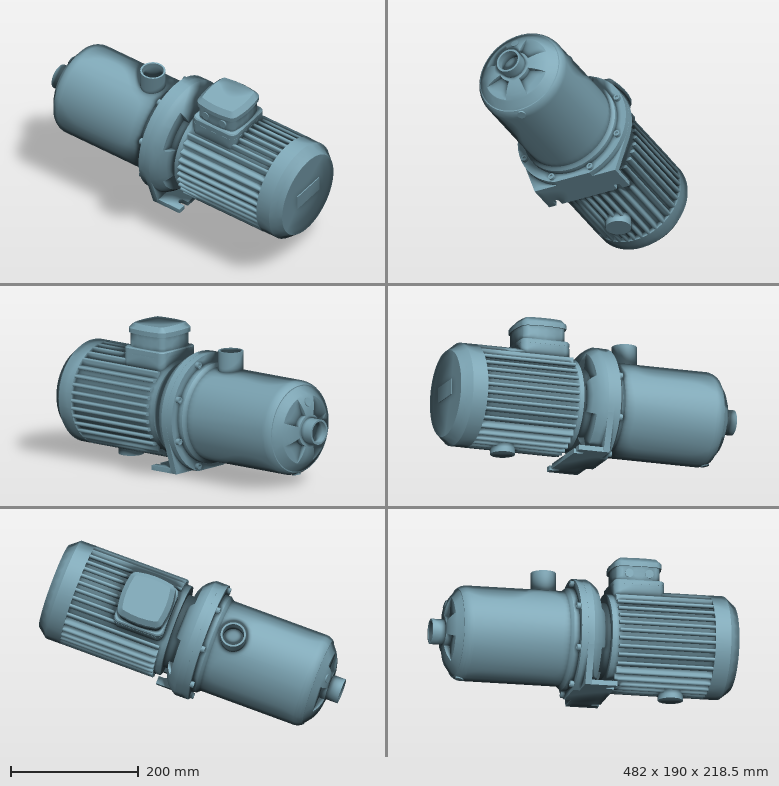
import cadquery as cq
import math


cap_face_x = 20.0
cap_pocket_floor_x = 29.0
cap_rim_x = 39.5
shell_start_x = 54.5
shell_end_x = 207.7
collar_x = 213.5
flange_x = 222.0
bracket_x = 233.0
dome_x = 243.0
dome_pocket_floor_x = 257.5
dome_end_x = 267.5
motor_ring_x = 276.0
fins_x = 286.5
fan_cover_x = 440.0
fan_cone_x = 464.5
fan_end_x = 480.5
pump_length = 482.0

cap_diameter = 136.0
cap_rim_diameter = 139.5
shell_diameter = 150.0
collar_diameter = 160.0
flange_diameter = 189.5
bracket_diameter = 190.0
neck_diameter = 120.0
neck_core_diameter = 96.5
motor_ring_diameter = 148.0
motor_diameter = 163.0
fan_end_diameter = 137.0
dome_end_diameter = 125.5
cap_hub_diameter = 51.0

cap_dome_point = (28.0, 53.0)
shell_round_point = (45.5, 73.5)
dome_point = (260.0, 81.5)

nozzle_diameter = 40.0
discharge_diameter = 39.5
nozzle_bore = 33.5
discharge_x = 181.0
discharge_top_z = 104.5

spoke_count = 4
cap_spoke_half_angle = 20.0
dome_spoke_half_angle = 22.0

plug_diameter = 13.5
plug_length = 9.5
fill_plug_face_x = 22.5
fill_plug_face_z = 45.5
fill_plug_tilt = 20.0
drain_plug_face_x = 46.5
drain_plug_face_z = -75.0
drain_plug_tilt = 75.0

foot_bottom_z = -89.5
foot_half_width = 70.5
foot_thickness = 7.5
foot_end_x = 284.0
foot_slot_width = 9.5
foot_slot_y = 53.0
foot_slot_centre_x = 274.5
support_diameter = 39.5
support_x = 385.0

fin_pitch = 12.5
fins_each_side_of_centre = 4
fin_thickness = 5.5
fin_root_z = 43.5

box_x = 327.0
box_corner_radius = 20.0 / 2
base_length = 81.5
base_width = 83.5
base_bottom_z = 48.0
base_top_z = 92.0
base_chamfer = 2.0
base_groove_bottom_z = 81.5
base_groove_top_z = 85.0
base_groove_depth = 0.25
case_half_width = 38.0
cover_half_width = 40.5
cover_corner_radius = 12.0
side_bulge = 5.0
cover_bottom_z = 114.0
cover_top_z = 129.0
cover_chamfer = 7.5
entry_diameter = 13.5
entry_spacing = 32.5
entry_z = 103.0
entry_face_y = -38.5

plate_width = 58.0
plate_height = 24.5
plate_z = 4.0

screw_count = 8
screw_head_diameter = 10.0
screw_head_height = 6.0
screw_circle_diameter = 175.0
screw_socket_diameter = 6.0
screw_socket_depth = 3.0


def x_cylinder(diameter, start_x, end_x, z=0.0):
    """Cylinder parallel to the shaft, on the plane Y = 0."""
    return cq.Workplane("YZ", origin=(start_x, 0, z)).circle(diameter / 2).extrude(end_x - start_x)


def z_cylinder(diameter, x, bottom_z, top_z):
    """Upright cylinder on the plane Y = 0."""
    return cq.Workplane("XY", origin=(x, 0, bottom_z)).circle(diameter / 2).extrude(top_z - bottom_z)


def turned_body():
    """Cap, shell, flange, dome, neck, motor core and fan cover, turned about the shaft."""
    return (
        cq.Workplane("XY")
        .moveTo(cap_face_x, 0)
        .lineTo(cap_face_x, nozzle_diameter / 2)
        .threePointArc(cap_dome_point, (cap_rim_x, cap_diameter / 2))
        .lineTo(cap_rim_x, cap_rim_diameter / 2)
        .threePointArc(shell_round_point, (shell_start_x, shell_diameter / 2))
        .lineTo(shell_end_x, shell_diameter / 2)
        .lineTo(collar_x, collar_diameter / 2)
        .lineTo(flange_x, collar_diameter / 2)
        .lineTo(flange_x, flange_diameter / 2)
        .lineTo(bracket_x, flange_diameter / 2)
        .lineTo(bracket_x, bracket_diameter / 2)
        .lineTo(dome_x, bracket_diameter / 2)
        .threePointArc(dome_point, (dome_end_x, dome_end_diameter / 2))
        .lineTo(dome_end_x, neck_core_diameter / 2)
        .lineTo(motor_ring_x, neck_core_diameter / 2)
        .lineTo(motor_ring_x, motor_ring_diameter / 2)
        .lineTo(fan_cover_x, motor_ring_diameter / 2)
        .lineTo(fan_cover_x, motor_diameter / 2)
        .lineTo(fan_cone_x, motor_diameter / 2)
        .lineTo(fan_end_x, fan_end_diameter / 2)
        .lineTo(fan_end_x, 0)
        .close()
        .revolve(360, (0, 0, 0), (1, 0, 0))
    )


def spoke_pockets(start_x, end_x, inner_radius, outer_radius, spoke_half_angle):
    """Ring sectors left between four spokes that lie along Y and Z."""
    pitch_angle = 360 / spoke_count
    start = math.radians(spoke_half_angle)
    end = math.radians(pitch_angle - spoke_half_angle)
    middle = (start + end) / 2

    def point(radius, angle):
        return (radius * math.cos(angle), radius * math.sin(angle))

    sector = (
        cq.Workplane("YZ", origin=(start_x, 0, 0))
        .moveTo(*point(inner_radius, start))
        .lineTo(*point(outer_radius, start))
        .threePointArc(point(outer_radius, middle), point(outer_radius, end))
        .lineTo(*point(inner_radius, end))
        .threePointArc(point(inner_radius, middle), point(inner_radius, start))
        .close()
        .extrude(end_x - start_x)
    )
    pockets = sector
    for index in range(1, spoke_count):
        pockets = pockets.union(sector.rotate((0, 0, 0), (1, 0, 0), index * pitch_angle))
    return pockets


def foot():
    """Bracket plate with sides tangent to the bracket rim, and a sole with two open slots."""
    bracket_radius = bracket_diameter / 2
    corner_distance = math.hypot(foot_half_width, foot_bottom_z)
    corner_angle = math.atan2(foot_bottom_z, foot_half_width)
    tangent_angle = corner_angle + math.acos(bracket_radius / corner_distance)
    tangent_y = bracket_radius * math.cos(tangent_angle)
    tangent_z = bracket_radius * math.sin(tangent_angle)
    plate = (
        cq.Workplane("YZ", origin=(bracket_x, 0, 0))
        .moveTo(-foot_half_width, foot_bottom_z)
        .lineTo(foot_half_width, foot_bottom_z)
        .lineTo(tangent_y, tangent_z)
        .lineTo(-tangent_y, tangent_z)
        .close()
        .extrude(dome_x - bracket_x)
    )
    sole = cq.Workplane("XY").box(
        foot_end_x - bracket_x, 2 * foot_half_width, foot_thickness, centered=(False, True, False)
    ).translate((bracket_x, 0, foot_bottom_z))
    slot_length = 2 * (foot_end_x - foot_slot_centre_x) + foot_slot_width
    slots = (
        cq.Workplane("XY", origin=(foot_end_x, 0, foot_bottom_z))
        .rarray(5, 2 * foot_slot_y, 1, 2)
        .slot2D(slot_length, foot_slot_width)
        .extrude(foot_thickness)
    )
    return plate.union(sole.cut(slots))


def fins():
    """Parallel fins on the four sides of the motor, with round tips on the motor's outer diameter.

    On top, those below the terminal box start at the middle of the box.
    """
    half = fin_thickness / 2
    blades = cq.Workplane("YZ", origin=(fins_x, 0, 0))
    for index in range(-fins_each_side_of_centre, fins_each_side_of_centre + 1):
        y = index * fin_pitch
        tip_z = math.sqrt((motor_diameter / 2) ** 2 - y ** 2)
        blades = (
            blades.moveTo(y - half, fin_root_z)
            .lineTo(y + half, fin_root_z)
            .lineTo(y + half, tip_z - half)
            .threePointArc((y, tip_z), (y - half, tip_z - half))
            .close()
        )
    one_side = blades.extrude(fan_cover_x - fins_x)
    under_box = cq.Workplane("XY").box(
        box_x - fins_x, base_width, motor_diameter / 2, centered=(False, True, False)
    ).translate((fins_x, 0, 0))
    sides = [one_side.cut(under_box)]
    for side in range(1, 4):
        sides.append(one_side.rotate((0, 0, 0), (1, 0, 0), side * 90))
    return sides


def bulged_prism(half_width, corner_radius, bottom_z, top_z):
    """Square prism with bowed sides and rounded corners."""
    corner = half_width - side_bulge
    return (
        cq.Workplane("XY", origin=(box_x, 0, bottom_z))
        .moveTo(-corner, -corner)
        .threePointArc((0, -half_width), (corner, -corner))
        .threePointArc((half_width, 0), (corner, corner))
        .threePointArc((0, half_width), (-corner, corner))
        .threePointArc((-half_width, 0), (-corner, -corner))
        .close()
        .extrude(top_z - bottom_z)
        .edges("|Z")
        .fillet(corner_radius)
    )


def base_block(inset, bottom_z, top_z):
    """Rounded block of the terminal box base, drawn in by an inset."""
    return (
        cq.Workplane("XY", origin=(box_x, 0, bottom_z))
        .rect(base_length - 2 * inset, base_width - 2 * inset)
        .extrude(top_z - bottom_z)
        .edges("|Z")
        .fillet(box_corner_radius - inset)
    )


def terminal_box():
    """Grooved base, bowed case with two cable entries, and chamfered cover."""
    base = base_block(0, base_bottom_z, base_top_z).faces(">Z").edges().chamfer(base_chamfer)
    groove = base_block(0, base_groove_bottom_z, base_groove_top_z).cut(
        base_block(base_groove_depth, base_groove_bottom_z, base_groove_top_z)
    )
    case = bulged_prism(case_half_width, box_corner_radius, base_top_z, cover_bottom_z)
    cover = bulged_prism(cover_half_width, cover_corner_radius, cover_bottom_z, cover_top_z)
    cover = cover.faces(">Z").edges().chamfer(cover_chamfer)
    entries = (
        cq.Workplane("XZ", origin=(box_x, entry_face_y, entry_z))
        .rarray(entry_spacing, 5, 2, 1)
        .circle(entry_diameter / 2)
        .extrude(entry_face_y)
    )
    return base.cut(groove).union(case).union(cover).union(entries)


def plug(face_x, face_z, tilt):
    """Round plug square to the casing, its axis tilted up from -X by an angle in degrees."""
    axis = (-math.cos(math.radians(tilt)), 0, math.sin(math.radians(tilt)))
    face = cq.Plane(origin=(face_x, 0, face_z), xDir=(0, 1, 0), normal=axis)
    return cq.Workplane(face).circle(plug_diameter / 2).extrude(-plug_length)


def pump():
    """The whole pump without its flange screws."""
    rim_radius = bracket_diameter / 2
    body = turned_body()
    body = body.cut(spoke_pockets(
        0, cap_pocket_floor_x, cap_hub_diameter / 2, cap_diameter / 2, cap_spoke_half_angle
    ))
    body = body.cut(spoke_pockets(
        dome_pocket_floor_x, dome_end_x, neck_core_diameter / 2, rim_radius, dome_spoke_half_angle
    ))
    body = body.union(x_cylinder(neck_diameter, dome_pocket_floor_x, motor_ring_x))
    below_foot = cq.Workplane("XY").box(
        pump_length, bracket_diameter, rim_radius, centered=(False, True, False)
    ).translate((0, 0, foot_bottom_z - rim_radius))
    body = body.cut(below_foot).union(foot())
    for fin_side in fins():
        body = body.union(fin_side)
    body = body.union(terminal_box())
    body = body.union(z_cylinder(support_diameter, support_x, foot_bottom_z, 0))
    body = body.union(plug(fill_plug_face_x, fill_plug_face_z, fill_plug_tilt))
    body = body.union(plug(drain_plug_face_x, drain_plug_face_z, -drain_plug_tilt))
    body = body.union(x_cylinder(nozzle_diameter, 0, cap_rim_x))
    body = body.cut(x_cylinder(nozzle_bore, 0, cap_face_x))
    body = body.union(z_cylinder(discharge_diameter, discharge_x, 0, discharge_top_z))
    body = body.cut(z_cylinder(nozzle_bore, discharge_x, shell_diameter / 2, discharge_top_z))
    name_plate = cq.Workplane("XY").box(
        pump_length - fan_cone_x, plate_width, plate_height, centered=(False, True, True)
    ).translate((fan_cone_x, 0, plate_z))
    return body.union(name_plate)


def screw(angle):
    """Socket screw head resting on the flange at an angle round the shaft."""
    head = x_cylinder(screw_head_diameter, flange_x - screw_head_height, flange_x)
    head = head.faces("<X").workplane().polygon(6, screw_socket_diameter).cutBlind(-screw_socket_depth)
    return head.translate((0, screw_circle_diameter / 2, 0)).rotate((0, 0, 0), (1, 0, 0), angle)


pump_body = pump()
screws = [screw((index + 0.5) * 360 / screw_count) for index in range(screw_count)]

result = cq.Compound.makeCompound([pump_body.val(), *[head.val() for head in screws]])